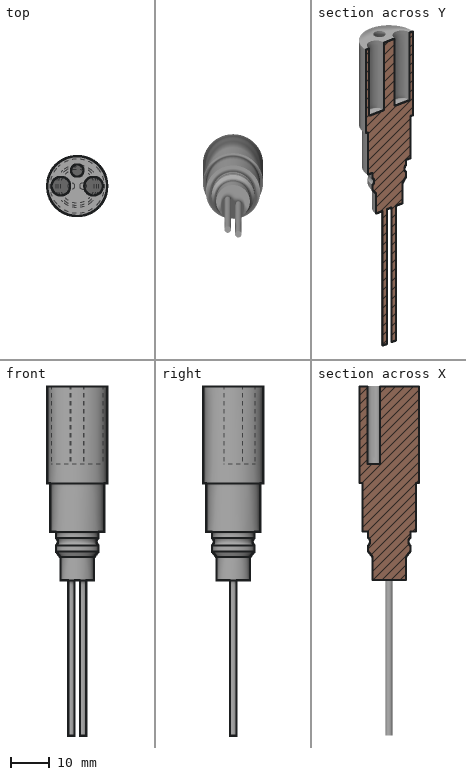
import cadquery as cq

wire_length = 40.0
body_length = 50.0
top_z = wire_length + body_length

head_diameter = 15.5
head_length = 25.0
sleeve_diameter = 14.0
sleeve_length = 12.5
collar_diameter = 11.0
upper_collar_length = 1.5
groove_width = 2.0
groove_depth = 0.5
lower_collar_length = 1.5
neck_diameter = 8.7
neck_length = 6.0

contact_diameter = 4.8
contact_offset = 4.2
key_diameter = 3.2
key_offset = 4.0
socket_depth = 20.0

wire_diameter = 1.7
wire_spacing = 3.0


def make_body():
    """Revolve the half profile of the body about Z, rounded groove included."""
    head_radius = head_diameter / 2
    sleeve_radius = sleeve_diameter / 2
    collar_radius = collar_diameter / 2
    neck_radius = neck_diameter / 2

    head_bottom = top_z - head_length
    sleeve_bottom = head_bottom - sleeve_length
    groove_top = sleeve_bottom - upper_collar_length
    groove_middle = groove_top - groove_width / 2
    groove_bottom = groove_top - groove_width
    taper_top = groove_bottom - lower_collar_length
    neck_bottom = wire_length
    neck_top = neck_bottom + neck_length

    profile = (
        cq.Workplane("XZ")
        .moveTo(0, top_z)
        .lineTo(head_radius, top_z)
        .lineTo(head_radius, head_bottom)
        .lineTo(sleeve_radius, head_bottom)
        .lineTo(sleeve_radius, sleeve_bottom)
        .lineTo(collar_radius, sleeve_bottom)
        .lineTo(collar_radius, groove_top)
        .threePointArc((collar_radius - groove_depth, groove_middle), (collar_radius, groove_bottom))
        .lineTo(collar_radius, taper_top)
        .lineTo(neck_radius, neck_top)
        .lineTo(neck_radius, neck_bottom)
        .lineTo(0, neck_bottom)
        .close()
    )
    return profile.revolve(360, (0, 0, 0), (0, 1, 0))


def make_sockets():
    """Blind holes: two contacts side by side on X and a smaller key hole on +Y."""
    floor = cq.Workplane("XY").workplane(offset=top_z - socket_depth)
    contacts = (
        floor.pushPoints([(-contact_offset, 0), (contact_offset, 0)])
        .circle(contact_diameter / 2)
        .extrude(socket_depth)
    )
    key_hole = floor.center(0, key_offset).circle(key_diameter / 2).extrude(socket_depth)
    return contacts.union(key_hole)


def make_wires():
    """Two parallel wires leaving the bottom of the neck."""
    return (
        cq.Workplane("XY")
        .pushPoints([(-wire_spacing / 2, 0), (wire_spacing / 2, 0)])
        .circle(wire_diameter / 2)
        .extrude(wire_length)
    )


result = make_body().cut(make_sockets()).union(make_wires())